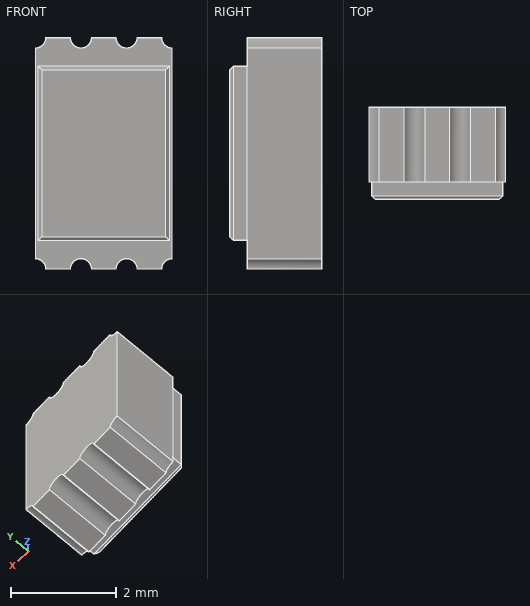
import cadquery as cq

width = 2.6
depth = 1.75
height = 4.4

lid_width = 2.49
lid_height = 3.31
lid_depth = 0.33
lid_chamfer = 0.07

groove_radius = 0.2
groove_intervals = 3
groove_pitch = width / groove_intervals

body_depth = depth - lid_depth
front_y = -depth / 2
body_front_y = front_y + lid_depth
body_center_y = body_front_y + body_depth / 2


def make_body():
    """Block with half-round grooves, and quarter-round ones at the corners."""
    block = cq.Workplane("XY").box(width, body_depth, height)
    centers = [
        (-width / 2 + i * groove_pitch, end * height / 2)
        for i in range(groove_intervals + 1)
        for end in (-1, 1)
    ]
    grooves = (
        cq.Workplane("XZ")
        .pushPoints(centers)
        .circle(groove_radius)
        .extrude(body_depth, both=True)
    )
    return block.cut(grooves).translate((0, body_center_y, 0))


def make_lid():
    """Rectangular plate with its front edges chamfered."""
    plate = cq.Workplane("XY").box(lid_width, lid_depth, lid_height)
    plate = plate.faces("<Y").edges().chamfer(lid_chamfer)
    return plate.translate((0, front_y + lid_depth / 2, 0))


result = make_body().union(make_lid())